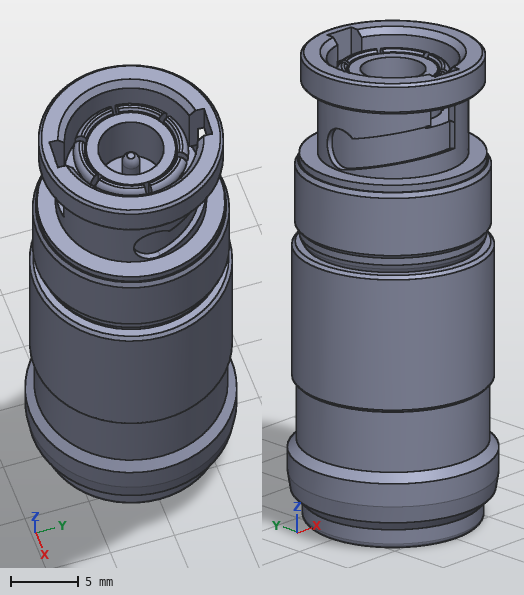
import cadquery as cq
import math


total_height = 36.85

tail_radius = 6.75
tail_top = 1.55
tail_edge_radius = 0.45

rim_radius = 7.85
rim_lower_radius = 7.63
rim_lower_z = 2.45
rim_taper_z = 3.8
rim_upper_z = 5.6

waist_radius = 7.2
waist_bottom = 6.25

sleeve_radius = 7.5
sleeve_bottom = 11.05
sleeve_top = 21.9
sleeve_chamfer = 0.25

ring_radius = 7.3
ring_land_radius = 6.95
ring_shoulder_radius = 7.08
ring_chamfer = ring_radius - ring_land_radius
ring_groove_radius = 6.65
ring_bevel_z = 22.6
ring_cone_z = 22.25
ring_cone_radius = 6.85
ring_lower_z = 23.47
ring_upper_z = 28.0
ring_land_z = 28.37
ring_top = 28.93

neck_radius = 5.6
head_radius = 6.85
head_bottom = 34.45
head_chamfer = 0.22

bore_radius = 4.95
bore_chamfer = 0.48
core_radius = 5.12
core_top = 32.5

notch_radius = 5.95
notch_width = 2.4
notch_angle = 3.6
slot_width = 2.35
slot_angle = 14.5
lock_hole_radius = 1.6
lock_hole_z = 30.65

finger_inner_radius = 3.43
finger_mouth_radius = 3.6
finger_stem_radius = 3.75
finger_tip_radius = 3.85
finger_bulge_radius = 4.27
finger_bulge_bottom = 34.5
finger_bulge_z = 35.15
finger_top = 35.75
slit_width = 0.45
slit_count = 6

insulator_radius = 3.3
insulator_bore_radius = 2.45
insulator_floor = 31.32
insulator_top = 35.52
pin_radius = 0.65
pin_top = 34.65
pin_tip_radius = 0.3
pin_shoulder_z = 33.9
pin_nose_radius = 0.55
pin_nose_z = 34.35


def cylinder(radius, bottom, top):
    return cq.Workplane("XY").workplane(offset=bottom).circle(radius).extrude(top - bottom)


def turned_body():
    """Solid outer envelope, revolved from its half outline."""
    edge_inset = tail_edge_radius * (1 - math.sqrt(0.5))
    outline = (
        cq.Workplane("XZ")
        .moveTo(0, 0)
        .lineTo(tail_radius - tail_edge_radius, 0)
        .threePointArc((tail_radius - edge_inset, edge_inset), (tail_radius, tail_edge_radius))
        .lineTo(tail_radius, tail_top)
        .lineTo(rim_lower_radius, rim_lower_z)
        .lineTo(rim_radius, rim_taper_z)
        .lineTo(rim_radius, rim_upper_z)
        .lineTo(waist_radius, waist_bottom)
        .lineTo(waist_radius, sleeve_bottom)
        .lineTo(sleeve_radius - sleeve_chamfer, sleeve_bottom)
        .lineTo(sleeve_radius, sleeve_bottom + sleeve_chamfer)
        .lineTo(sleeve_radius, sleeve_top - sleeve_chamfer)
        .lineTo(sleeve_radius - sleeve_chamfer, sleeve_top)
        .lineTo(ring_groove_radius, sleeve_top)
        .lineTo(ring_cone_radius, ring_cone_z)
        .lineTo(ring_land_radius, ring_bevel_z)
        .lineTo(ring_land_radius, ring_lower_z - ring_chamfer)
        .lineTo(ring_radius, ring_lower_z)
        .lineTo(ring_radius, ring_upper_z)
        .lineTo(ring_shoulder_radius, ring_land_z)
        .lineTo(ring_land_radius, ring_land_z)
        .lineTo(ring_land_radius, ring_top)
        .lineTo(neck_radius, ring_top)
        .lineTo(neck_radius, head_bottom)
        .lineTo(head_radius - head_chamfer, head_bottom)
        .lineTo(head_radius, head_bottom + head_chamfer)
        .lineTo(head_radius, total_height - head_chamfer)
        .lineTo(head_radius - head_chamfer, total_height)
        .lineTo(0, total_height)
        .close()
    )
    return outline.revolve(360, (0, 0, 0), (0, 1, 0))


def socket_bore():
    """Socket down to the core, with a conical lead-in at the mouth."""
    return (
        cq.Workplane("XZ")
        .moveTo(0, core_top)
        .lineTo(bore_radius, core_top)
        .lineTo(bore_radius, total_height - bore_chamfer)
        .lineTo(bore_radius + bore_chamfer, total_height)
        .lineTo(0, total_height)
        .close()
        .revolve(360, (0, 0, 0), (0, 1, 0))
    )


def entry_notch():
    """Straight notch on the -Y side that lets a bayonet lug in from the top."""
    notch = cq.Workplane("XY").box(
        notch_width, notch_radius, total_height - core_top, centered=(True, False, False)
    )
    notch = notch.translate((0, -notch_radius, core_top))
    return notch.rotate((0, 0, 0), (0, 0, 1), -notch_angle)


def locking_slot():
    """Slanted slot from the -Y notch down to a round detent on the -X side, cut as deep as the core."""
    notch_turn = math.radians(notch_angle)
    slot_end_x = notch_width / 2 * math.cos(notch_turn) - neck_radius * math.sin(notch_turn)
    reach = slot_end_x + head_radius
    run = 2 * neck_radius
    band_offset = slot_width / 2 - lock_hole_radius
    band = (
        cq.Workplane("YZ")
        .center(-run / 2, band_offset)
        .rect(run, slot_width)
        .extrude(reach)
        .rotate((0, 0, 0), (1, 0, 0), -slot_angle)
    )
    detent = cq.Workplane("YZ").circle(lock_hole_radius).extrude(head_radius)
    cutter = band.union(detent).translate((-head_radius, 0, lock_hole_z))
    core = cylinder(core_radius, 0, total_height)
    return cutter.cut(core)


def spring_fingers():
    """Slit tube with a rounded outward bulge near its tip."""
    tube = (
        cq.Workplane("XZ")
        .moveTo(finger_inner_radius, core_top)
        .lineTo(finger_stem_radius, core_top)
        .lineTo(finger_stem_radius, finger_bulge_bottom)
        .threePointArc((finger_bulge_radius, finger_bulge_z), (finger_tip_radius, finger_top))
        .lineTo(finger_mouth_radius, finger_top)
        .lineTo(finger_inner_radius, finger_top - (finger_mouth_radius - finger_inner_radius))
        .close()
        .revolve(360, (0, 0, 0), (0, 1, 0))
    )
    for index in range(slit_count // 2):
        slit = cq.Workplane("XY").box(
            2 * bore_radius, slit_width, total_height - core_top, centered=(True, True, False)
        )
        slit = slit.translate((0, 0, core_top))
        tube = tube.cut(slit.rotate((0, 0, 0), (0, 0, 1), index * 360 / slit_count))
    return tube


def centre_pin():
    """Pin with a rounded nose and a small flat tip."""
    return (
        cq.Workplane("XZ")
        .moveTo(0, insulator_floor)
        .lineTo(pin_radius, insulator_floor)
        .lineTo(pin_radius, pin_shoulder_z)
        .threePointArc((pin_nose_radius, pin_nose_z), (pin_tip_radius, pin_top))
        .lineTo(0, pin_top)
        .close()
        .revolve(360, (0, 0, 0), (0, 1, 0))
    )


body = turned_body().cut(socket_bore())
for turn in (0, 180):
    bayonet_cut = entry_notch().union(locking_slot())
    body = body.cut(bayonet_cut.rotate((0, 0, 0), (0, 0, 1), turn))

body = body.union(spring_fingers())
body = body.union(cylinder(insulator_radius, core_top, insulator_top))
body = body.cut(cylinder(insulator_bore_radius, insulator_floor, insulator_top))
result = body.union(centre_pin())